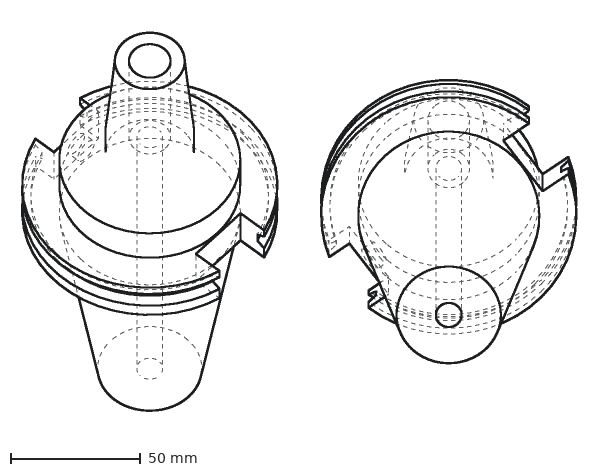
import cadquery as cq
import math

gauge_diameter = 69.85
gauge_radius = gauge_diameter / 2
taper_length = 101.6
taper_ratio = 7 / 24
taper_end_radius = gauge_radius - taper_length * taper_ratio / 2

flange_radius = 98.425 / 2
flange_bottom_z = 1.25
flange_top_z = 19.05
groove_center_z = 11.1
groove_root_radius = 45.85
groove_root_width = 3.8
groove_flank_angle = 30
groove_flank_height = (flange_radius - groove_root_radius) * math.tan(math.radians(groove_flank_angle))
groove_root_half = groove_root_width / 2
groove_mouth_half = groove_root_half + groove_flank_height

slot_width = 25.9
slot_floor_left = 37.9
slot_floor_right = 35.3

floor_hole_diameter = 9.6
floor_hole_depth = 5.0

collar_top_z = 35.0
neck_radius = 17.0
neck_fillet = 5.0
neck_top_z = 55.5
nose_top_z = 100.0
nose_angle = 4.5
nose_top_radius = neck_radius - (nose_top_z - neck_top_z) * math.tan(math.radians(nose_angle))

bore_diameter = 16.0
bore_depth = 50.0
passage_diameter = 10.0


def make_body():
    """Revolve the half outline of the holder about Z."""
    fillet_mid_offset = neck_fillet * (1 - math.sqrt(0.5))
    outline = (
        cq.Workplane("XZ")
        .moveTo(0, -taper_length)
        .lineTo(taper_end_radius, -taper_length)
        .lineTo(gauge_radius, 0)
        .lineTo(gauge_radius, flange_bottom_z)
        .lineTo(flange_radius, flange_bottom_z)
        .lineTo(flange_radius, groove_center_z - groove_mouth_half)
        .lineTo(groove_root_radius, groove_center_z - groove_root_half)
        .lineTo(groove_root_radius, groove_center_z + groove_root_half)
        .lineTo(flange_radius, groove_center_z + groove_mouth_half)
        .lineTo(flange_radius, flange_top_z)
        .lineTo(gauge_radius, flange_top_z)
        .lineTo(gauge_radius, collar_top_z)
        .lineTo(neck_radius + neck_fillet, collar_top_z)
        .threePointArc(
            (neck_radius + fillet_mid_offset, collar_top_z + fillet_mid_offset),
            (neck_radius, collar_top_z + neck_fillet),
        )
        .lineTo(neck_radius, neck_top_z)
        .lineTo(nose_top_radius, nose_top_z)
        .lineTo(0, nose_top_z)
        .close()
    )
    return outline.revolve(360, (0, 0, 0), (0, 1, 0))


def make_slot(side, floor_distance):
    """Block that cuts one drive slot through the flange; side is -1 or +1 along X."""
    slot_depth = flange_radius - floor_distance
    center_x = side * (floor_distance + slot_depth / 2)
    flange_thickness = flange_top_z - flange_bottom_z
    center_z = (flange_top_z + flange_bottom_z) / 2
    return cq.Workplane("XY").box(slot_depth, slot_width, flange_thickness).translate((center_x, 0, center_z))


def make_floor_hole():
    """Radial cylinder running inward from the floor of the left slot."""
    return (
        cq.Workplane("YZ", origin=(-slot_floor_left, 0, groove_center_z))
        .circle(floor_hole_diameter / 2)
        .extrude(floor_hole_depth)
    )


def make_bore():
    """Tool bore from the nose face, continued by the passage through the shank."""
    bore = cq.Workplane("XY", origin=(0, 0, nose_top_z)).circle(bore_diameter / 2).extrude(-bore_depth)
    passage = (
        cq.Workplane("XY", origin=(0, 0, -taper_length))
        .circle(passage_diameter / 2)
        .extrude(taper_length + nose_top_z)
    )
    return bore.union(passage)


result = (
    make_body()
    .cut(make_slot(-1, slot_floor_left))
    .cut(make_slot(1, slot_floor_right))
    .cut(make_floor_hole())
    .cut(make_bore())
)